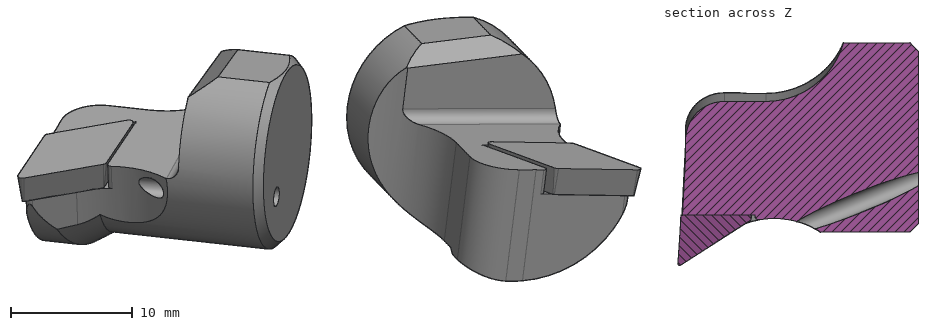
import cadquery as cq
import math


shank_radius = 8.0
rear_chamfer = 0.7
top_flat_z = 7.42
shoulder_x = -7.05
slope_length = 1.98
slope_drop = 1.2

head_radius = 9.48
head_center_y = -1.1
head_center_z = 0.65
flare_start_x = -14.08
flare_angle = 32.0
blank_front_x = -21.0

seat_tilt = 7.0
floor_z = 1.05
floor_fillet = 1.0
above_floor = 12.0
below_floor = 14.0
side_reach = 16.0

front_x = -19.15
front_relief_y = -2.05
front_relief_angle = 3.0
back_y = 2.6
front_corner_radius = 3.2
back_scoop_start_x = -12.52
back_scoop_radius = 6.6
side_scoop_x = -11.85
side_scoop_radius = 7.0
side_scoop_top_y = -6.95
side_wall_angle = 34.0
nose_radius = 0.4

insert_circle = 6.35
insert_angle = 55.0
insert_edge_angle = 32.0
insert_thickness = 2.38
insert_relief = 7.0
insert_corner_radius = 0.4
insert_rise = 0.28
pocket_mouth_radius = 0.32
insert_tip_x = -20.05
insert_tip_y = -11.35

hole_diameter = 1.6
hole_mouth = cq.Vector(-9.25, -7.1, -1.28)
hole_angle = 22.0
hole_drop_angle = 7.0
hole_overrun = 3.0


def polar(length, angle):
    """Plane vector of the given length and direction in degrees."""
    return (length * math.cos(math.radians(angle)), length * math.sin(math.radians(angle)))


insert_side = insert_circle / math.sin(math.radians(insert_angle))
long_edge = polar(insert_side, insert_edge_angle)
end_edge = polar(insert_side, insert_edge_angle + insert_angle)


def floor_plane(height=0.0):
    """Work plane parallel to the seat floor, at a height above it."""
    plane = cq.Plane(origin=(0, 0, floor_z), xDir=(1, 0, 0), normal=(0, 0, 1)).rotated((seat_tilt, 0, 0))
    return cq.Workplane(plane).workplane(offset=height)


def make_shank():
    """Round shank with its rear chamfer, top flat and the slope in front of the flat."""
    length = -blank_front_x
    shank = cq.Workplane("YZ").circle(shank_radius).extrude(-length)
    shank = shank.faces(">X").chamfer(rear_chamfer)
    above_top = (
        cq.Workplane("XZ")
        .moveTo(0, top_flat_z)
        .lineTo(shoulder_x + slope_length, top_flat_z)
        .lineTo(shoulder_x, top_flat_z - slope_drop)
        .lineTo(blank_front_x, top_flat_z - slope_drop)
        .lineTo(blank_front_x, shank_radius)
        .lineTo(0, shank_radius)
        .close()
        .extrude(shank_radius, both=True)
    )
    return shank.cut(above_top)


def make_head():
    """Off-centre head whose rear flares out of the shank along a cone."""
    length = flare_start_x - blank_front_x
    flare_radius = shank_radius + length * math.tan(math.radians(flare_angle))
    flare = (
        cq.Workplane("XY")
        .moveTo(flare_start_x, 0)
        .lineTo(flare_start_x, shank_radius)
        .lineTo(blank_front_x, flare_radius)
        .lineTo(blank_front_x, 0)
        .close()
        .revolve(360, (0, 0, 0), (1, 0, 0))
    )
    cylinder = (
        cq.Workplane("YZ", origin=(flare_start_x, 0, 0))
        .center(head_center_y, head_center_z)
        .circle(head_radius)
        .extrude(-length)
    )
    return flare.intersect(cylinder)


def make_neck_envelope():
    """Prism perpendicular to the floor that holds everything kept of the neck and head."""
    relief_slope = math.tan(math.radians(front_relief_angle))
    wall_slope = math.tan(math.radians(side_wall_angle))
    scoop_center_y = side_scoop_top_y - side_scoop_radius
    dx, dy = polar(side_scoop_radius, 90 + side_wall_angle)
    tangent_x = side_scoop_x + dx
    tangent_y = scoop_center_y + dy

    nose_y = (tangent_y + wall_slope * (front_x - relief_slope * front_relief_y - tangent_x)) / (
        1 - wall_slope * relief_slope
    )
    nose_x = front_x + relief_slope * (nose_y - front_relief_y)

    corner_center_x = front_x + front_corner_radius
    corner_center_y = back_y - front_corner_radius
    corner_dx, corner_dy = polar(front_corner_radius, 135)
    back_center_y = back_y + back_scoop_radius
    back_dx, back_dy = polar(back_scoop_radius, -45)
    side_dx, side_dy = polar(side_scoop_radius, 90)
    scoop_right_x = side_scoop_x + side_scoop_radius

    envelope = (
        floor_plane(-below_floor)
        .moveTo(nose_x, nose_y)
        .lineTo(front_x, front_relief_y)
        .lineTo(front_x, corner_center_y)
        .threePointArc(
            (corner_center_x + corner_dx, corner_center_y + corner_dy),
            (corner_center_x, back_y),
        )
        .lineTo(back_scoop_start_x, back_y)
        .threePointArc(
            (back_scoop_start_x + back_dx, back_center_y + back_dy),
            (back_scoop_start_x + back_scoop_radius, back_center_y),
        )
        .lineTo(back_scoop_start_x + back_scoop_radius, side_reach)
        .lineTo(0, side_reach)
        .lineTo(0, -side_reach)
        .lineTo(scoop_right_x, -side_reach)
        .lineTo(scoop_right_x, scoop_center_y)
        .threePointArc((side_scoop_x + side_dx, scoop_center_y + side_dy), (tangent_x, tangent_y))
        .close()
        .extrude(below_floor + above_floor)
    )
    nose_point = floor_plane().plane.toWorldCoords((nose_x, nose_y)).toTuple()
    nose_edge = cq.selectors.NearestToPointSelector(nose_point)
    return envelope.edges("#X").edges(nose_edge).fillet(nose_radius)


def make_floor_cut():
    """Space above the seat floor, rounded where the floor meets the shoulder."""
    length = shoulder_x - blank_front_x
    block = (
        floor_plane()
        .center(shoulder_x - length / 2, 0)
        .rect(length, 2 * side_reach)
        .extrude(above_floor)
    )
    return block.faces(">X").edges("<Z").fillet(floor_fillet)


def insert_outline(height):
    """Sharp rhombus of the insert's top face, drawn at a height above the floor."""
    return (
        floor_plane(height)
        .moveTo(insert_tip_x, insert_tip_y)
        .line(*long_edge)
        .line(*end_edge)
        .line(-long_edge[0], -long_edge[1])
        .close()
    )


def make_insert():
    """Cutting insert with rounded corners, narrowing downward so that the corners turn conical."""
    upright = cq.selectors.ParallelDirSelector(floor_plane().plane.zDir)
    blank = insert_outline(insert_rise).extrude(-insert_thickness)
    blank = blank.edges(upright).fillet(insert_corner_radius)
    top_outline = blank.faces(">Z").wires().toPending()
    return top_outline.extrude(-insert_thickness, combine=False, taper=insert_relief)


def make_pocket():
    """Straight-walled pocket that seats the insert."""
    return insert_outline(insert_rise - insert_thickness).extrude(above_floor)


def round_pocket_mouth(body):
    """Round the body's edges where the pocket walls run out at the front and at the side."""
    half_depth = (insert_rise - insert_thickness) / 2
    for dx, dy in (end_edge, long_edge):
        corner = (insert_tip_x + dx, insert_tip_y + dy, half_depth)
        point = floor_plane().plane.toWorldCoords(corner).toTuple()
        body = body.edges(cq.selectors.NearestToPointSelector(point)).fillet(pocket_mouth_radius)
    return body


def make_coolant_hole():
    """Straight hole from the side scoop to the rear face, overrunning both."""
    dx, dy = polar(1.0, hole_angle)
    direction = cq.Vector(dx, dy, -math.tan(math.radians(hole_drop_angle)))
    start = hole_mouth - direction * hole_overrun
    length = (2 * hole_overrun - hole_mouth.x / dx) * direction.Length
    return cq.Workplane(cq.Solid.makeCylinder(hole_diameter / 2, length, start, direction))


holder = make_shank().union(make_head())
holder = holder.intersect(make_neck_envelope())
holder = holder.cut(make_floor_cut())
holder = holder.cut(make_pocket())
holder = round_pocket_mouth(holder)
holder = holder.cut(make_coolant_hole())

insert = make_insert()

result = cq.Compound.makeCompound([holder.solids().val(), insert.solids().val()])